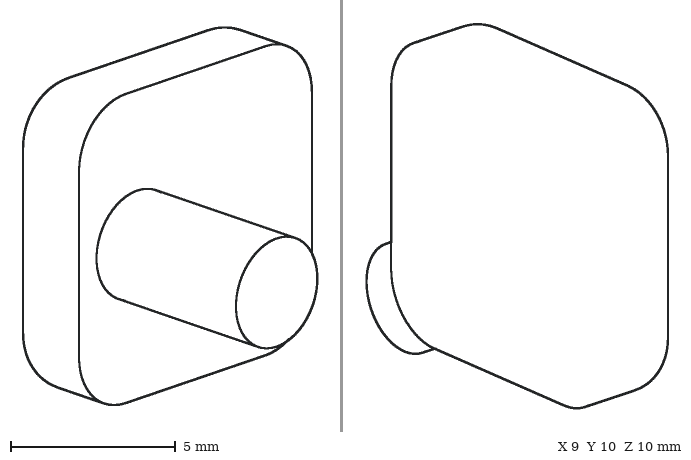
import cadquery as cq

head_width = 10
head_thickness = 3
corner_radius = 2
front_edge_radius = 1

stem_diameter = 3.5
stem_length = 6
stem_offset_y = -2.5


def make_head():
    """Rounded square plate with a rounded rim on its -X face."""
    plate = cq.Workplane("YZ").rect(head_width, head_width).extrude(head_thickness)
    plate = plate.edges("|X").fillet(corner_radius)
    return plate.faces("<X").edges().fillet(front_edge_radius)


def make_stem():
    """Plain cylinder rising from the back of the head toward +X."""
    back_plane = cq.Workplane("YZ").workplane(offset=head_thickness)
    return back_plane.center(stem_offset_y, 0).circle(stem_diameter / 2).extrude(stem_length)


result = make_head().union(make_stem())